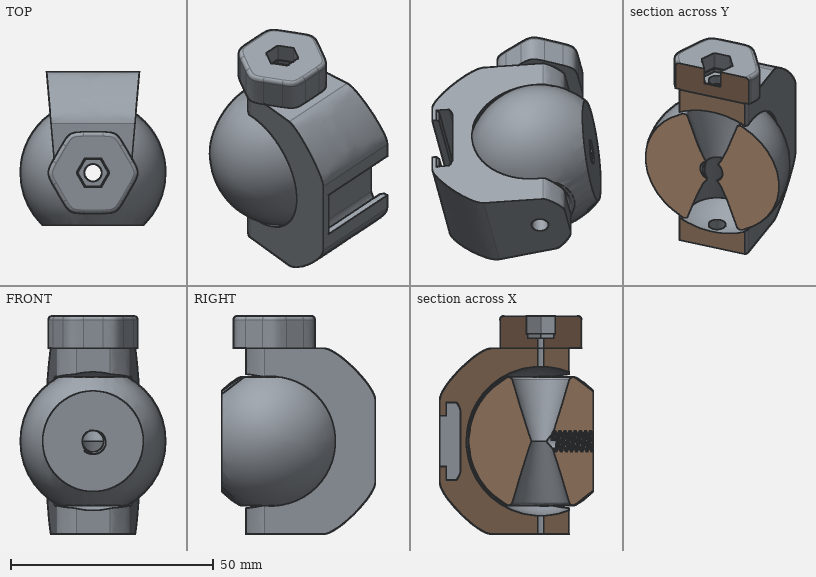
import cadquery as cq
import math


ball_radius = 18.0
mount_face_y = -13.0
passage_throat_radius = 3.0
passage_rim_radius = 7.6
passage_rim_round = 0.9
thread_minor_radius = 2.65
thread_major_radius = 3.25
thread_pitch = 1.27
thread_root_width = 0.16
thread_flank_angle = 30.0
thread_start_angle = 40.0
thread_overlap = 0.1

clamp_half_height = 23.0
clamp_front_y = -7.0
clamp_back_y = 25.0
clamp_back_half_width = 11.5
clamp_side_taper = 5.0
clamp_front_corner_length = 4.6
clamp_back_corner_length = 12.8
clamp_corner_fullness = 0.267
seat_clearance = 0.5
screw_hole_diameter = 4.24

slot_depth = 5.1
slot_half_height = 9.55
slot_mouth_half_height = 6.25
slot_corner_depth = 1.0
slot_corner_height = 2.0
slot_stop_thickness = 2.0
lip_entry_thickness = 1.1
lip_thickness = 1.65
lip_ramp_length = 0.8

knob_flats = 20.2
knob_height = 8.0
knob_corner_length = 3.4
knob_corner_fullness = 0.87
knob_top_round = 1.0
socket_flats = 7.1
socket_depth = 4.5
socket_corner_round = 0.3
recess_flats = 6.6
recess_depth = 1.0


def rounded_corner(outline, before, corner, after, fullness):
    """Draw a line to `before`, then a smooth corner to `after` that leans toward `corner`."""

    def handle(end):
        return tuple(e + fullness * (c - e) for e, c in zip(end, corner))

    return outline.lineTo(*before).bezier([before, handle(before), handle(after), after])


def make_thread_groove(length):
    """Helical groove cutter around Z, starting one pitch below the XY plane."""
    inner_radius = thread_minor_radius - thread_overlap
    root_half = thread_root_width / 2
    spread = (thread_major_radius - inner_radius) * math.tan(math.radians(thread_flank_angle))
    helix = cq.Wire.makeHelix(thread_pitch, length + thread_pitch, inner_radius)
    profile = cq.Workplane("XZ").polyline([
        (inner_radius, -root_half - spread),
        (thread_major_radius, -root_half),
        (thread_major_radius, root_half),
        (inner_radius, root_half + spread),
    ]).close()
    groove = profile.sweep(cq.Workplane(obj=helix), isFrenet=True)
    return groove.translate((0, 0, -thread_pitch))


def make_ball():
    cut_size = 2 * ball_radius
    ball = cq.Workplane("XY").sphere(ball_radius).rotate((0, 0, 0), (0, 1, 0), 90)
    mount_cut = cq.Workplane("XY").box(cut_size, cut_size, cut_size)
    rim_z = math.sqrt(ball_radius**2 - passage_rim_radius**2)

    slope = (passage_rim_radius - passage_throat_radius) / rim_z
    end_radius = passage_throat_radius + slope * ball_radius
    passage = (
        cq.Workplane("XZ")
        .moveTo(0, -ball_radius)
        .lineTo(end_radius, -ball_radius)
        .lineTo(passage_throat_radius, 0)
        .lineTo(end_radius, ball_radius)
        .lineTo(0, ball_radius)
        .close()
        .revolve(360, (0, 0, 0), (0, 1, 0))
    )
    ball = ball.cut(passage)
    for rim in ("%CIRCLE and >Z", "%CIRCLE and <Z"):
        ball = ball.edges(rim).fillet(passage_rim_round)
    ball = ball.cut(mount_cut.translate((0, mount_face_y - cut_size / 2, 0)))

    hole_length = -mount_face_y
    bore = cq.Workplane("XY").circle(thread_minor_radius).extrude(hole_length)
    groove = make_thread_groove(hole_length - passage_throat_radius)

    def place(tool):
        tool = tool.rotate((0, 0, 0), (0, 0, 1), thread_start_angle)
        return tool.rotate((0, 0, 0), (1, 0, 0), -90).translate((0, mount_face_y, 0))

    return ball.cut(place(bore)).cut(place(groove))


def make_clamp():
    length = clamp_back_y - clamp_front_y
    front_half_width = clamp_back_half_width - length * math.tan(math.radians(clamp_side_taper))
    taper = math.radians(clamp_side_taper)
    corner_x = front_half_width + clamp_front_corner_length * math.sin(taper)
    corner_y = clamp_front_y + clamp_front_corner_length * math.cos(taper)
    flat_x = front_half_width - clamp_front_corner_length
    plan = cq.Workplane("XY").workplane(offset=-clamp_half_height)
    plan = plan.moveTo(-clamp_back_half_width, clamp_back_y)
    plan = rounded_corner(
        plan,
        (-corner_x, corner_y),
        (-front_half_width, clamp_front_y),
        (-flat_x, clamp_front_y),
        clamp_corner_fullness,
    )
    plan = rounded_corner(
        plan,
        (flat_x, clamp_front_y),
        (front_half_width, clamp_front_y),
        (corner_x, corner_y),
        clamp_corner_fullness,
    )
    plan = plan.lineTo(clamp_back_half_width, clamp_back_y).close().extrude(2 * clamp_half_height)

    inset_y = clamp_back_y - clamp_back_corner_length
    inset_z = clamp_half_height - clamp_back_corner_length
    side = cq.Workplane("YZ").workplane(offset=-clamp_back_half_width).moveTo(clamp_front_y, -clamp_half_height)
    side = rounded_corner(
        side,
        (inset_y, -clamp_half_height),
        (clamp_back_y, -clamp_half_height),
        (clamp_back_y, -inset_z),
        clamp_corner_fullness,
    )
    side = rounded_corner(
        side,
        (clamp_back_y, inset_z),
        (clamp_back_y, clamp_half_height),
        (inset_y, clamp_half_height),
        clamp_corner_fullness,
    )
    side = side.lineTo(clamp_front_y, clamp_half_height).close()
    clamp = plan.intersect(side.extrude(2 * clamp_back_half_width))

    seat = cq.Workplane("XY").sphere(ball_radius + seat_clearance)
    screw_hole = cq.Workplane("XY").circle(screw_hole_diameter / 2).extrude(clamp_half_height, both=True)
    return clamp.cut(seat).cut(screw_hole).cut(make_slot())


def make_slot():
    """Cutter for the T-slot: mouth, undercut channel and thinned lips at the open end."""
    floor_y = clamp_back_y - slot_depth
    open_x = -clamp_back_half_width
    length = 2 * clamp_back_half_width - slot_stop_thickness

    mouth = (
        cq.Workplane("XY")
        .box(length, slot_depth, 2 * slot_mouth_half_height, centered=(False, False, True))
        .translate((open_x, floor_y, 0))
    )

    lip_y = clamp_back_y - lip_thickness
    corner_z = slot_half_height - slot_corner_height
    corner_y = floor_y + slot_corner_depth
    channel = cq.Workplane("YZ").workplane(offset=open_x).moveTo(lip_y, -slot_half_height)
    channel = rounded_corner(
        channel,
        (corner_y, -slot_half_height),
        (floor_y, -slot_half_height),
        (floor_y, -corner_z),
        clamp_corner_fullness,
    )
    channel = rounded_corner(
        channel,
        (floor_y, corner_z),
        (floor_y, slot_half_height),
        (corner_y, slot_half_height),
        clamp_corner_fullness,
    )
    channel = channel.lineTo(lip_y, slot_half_height).close().extrude(length)

    entry_y = clamp_back_y - lip_entry_thickness
    side_x = open_x + lip_thickness * math.tan(math.radians(clamp_side_taper))
    lead_in = (
        cq.Workplane("XY")
        .workplane(offset=-slot_half_height)
        .polyline([
            (open_x, lip_y),
            (open_x, entry_y),
            (side_x, entry_y),
            (side_x + lip_ramp_length, lip_y),
        ])
        .close()
        .extrude(2 * slot_half_height)
    )
    return mouth.union(channel).union(lead_in)


def make_knob():
    side = knob_flats / math.sqrt(3)
    corners = [
        (side * math.cos(math.radians(60 * i)), side * math.sin(math.radians(60 * i)))
        for i in range(6)
    ]

    def toward(start, end):
        share = knob_corner_length / side
        return tuple(s + share * (e - s) for s, e in zip(start, end))

    outline = cq.Workplane("XY").workplane(offset=clamp_half_height)
    outline = outline.moveTo(*toward(corners[-1], corners[0]))
    for i, corner in enumerate(corners):
        before = toward(corner, corners[i - 1])
        after = toward(corner, corners[(i + 1) % 6])
        outline = rounded_corner(outline, before, corner, after, knob_corner_fullness)
    knob = outline.close().extrude(knob_height)
    knob = knob.faces(">Z").edges().fillet(knob_top_round)

    top_z = clamp_half_height + knob_height
    corner_ratio = 2 / math.sqrt(3)
    top = cq.Workplane("XY").workplane(offset=top_z)
    socket = top.polygon(6, socket_flats * corner_ratio).extrude(-socket_depth)
    socket = socket.edges("|Z").fillet(socket_corner_round)
    recess = top.polygon(6, recess_flats * corner_ratio).extrude(-socket_depth - recess_depth)
    screw_hole = top.circle(screw_hole_diameter / 2).extrude(-knob_height)
    return knob.cut(socket).cut(recess).cut(screw_hole)


ball = make_ball()
clamp = make_clamp()
knob = make_knob()

result = cq.Compound.makeCompound([ball.val(), clamp.val(), knob.val()])